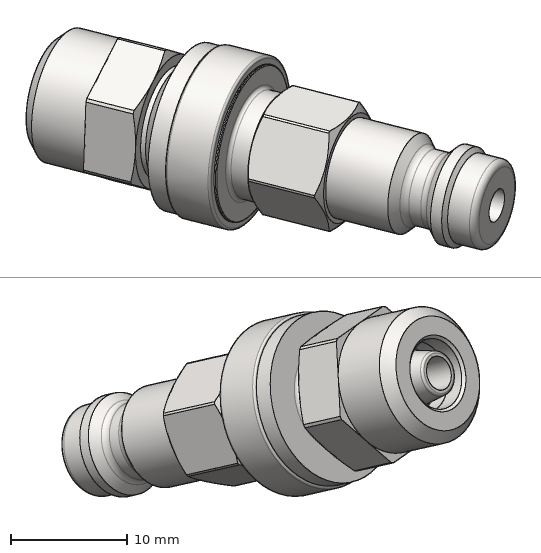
import cadquery as cq
import math

LENGTH = 43.0
BORE_R = 2.95 / 2

TIP_FACE_R = 3.53 / 2
TIP_R = 3.95 / 2
TIP_ROUND = TIP_R - TIP_FACE_R
CONE_BASE_R = 5.3 / 2
CONE_END = 3.85
HOSE_BORE_R = 6.2 / 2
SHOULDER_X = 2.15
THREAD_R = 10.0 / 2
THREAD_END = 11.65

UNDERCUT_R = 8.4 / 2
UNDERCUT_FILLET = 0.6
UNDERCUT_START = 12.45
UNDERCUT_END = 12.73

FLANGE_START = 13.15
FLANGE_END = 14.88
FLANGE_R = 15.0 / 2
DRUM_R = 14.0 / 2
DRUM_END = 19.5
DRUM_CHAMFER = 0.1

NECK_R = 9.7 / 2
NECK_FILLET = 0.35
HEX_START = 21.45
HEX_END = 28.75
BODY_HEX_FLATS = 10.0
BODY_HEX_CORNER_R = 11.45 / 2
HEX_END_R = 4.9
HEX_CHAMFER_ANGLE = 30.0

PLUG_R = 9.0 / 2
PLUG_END = 34.75
GROOVE_R = 6.85 / 2
GROOVE_FILLET = 1.0
LOCK_RIM_START = 38.87
LOCK_RIM_END = 39.95
NOSE_START = 40.3
NOSE_R = 8.1 / 2
NOSE_FILLET = 0.6

RING_END = 19.25
RING_R = 15.5 / 2
RING_ROUND = 0.2

NUT_START = 0.15
NUT_R = 12.0 / 2
NUT_FACE_R = 10.0 / 2
NUT_CHAMFER_END = 1.15
NUT_BORE_CHAMFER = 0.25
NUT_HEX_START = 6.28
NUT_END = 11.2
NUT_HEX_CORNER_R = 13.67 / 2
NUT_HEX_CHAMFER = 0.35
NUT_HEX_TURN = 4.0

DIAGONAL = math.sqrt(0.5)


def revolve_about_x(profile):
    """Full turn of a closed XY profile about the X axis."""
    return profile.close().revolve(360, (0, 0, 0), (1, 0, 0))


def cylinder(radius, start, end):
    return cq.Workplane("YZ", origin=(start, 0, 0)).circle(radius).extrude(end - start)


def hexagon(flats, start, end):
    """Hexagonal prism along X with two corners on the Y axis."""
    across_corners = flats / math.cos(math.pi / 6)
    return cq.Workplane("YZ", origin=(start, 0, 0)).polygon(6, across_corners).extrude(end - start)


def make_body_hex():
    chamfer_length = (BODY_HEX_CORNER_R - HEX_END_R) * math.tan(math.radians(HEX_CHAMFER_ANGLE))
    envelope = revolve_about_x(
        cq.Workplane("XY")
        .moveTo(HEX_START, 0)
        .lineTo(HEX_START, HEX_END_R)
        .lineTo(HEX_START + chamfer_length, BODY_HEX_CORNER_R)
        .lineTo(HEX_END - chamfer_length, BODY_HEX_CORNER_R)
        .lineTo(HEX_END, HEX_END_R)
        .lineTo(HEX_END, 0)
    )
    return hexagon(BODY_HEX_FLATS, HEX_START, HEX_END).intersect(envelope)


def make_body():
    arc_length = GROOVE_FILLET * DIAGONAL
    arc_rise = GROOVE_FILLET * (1 - DIAGONAL)
    arc_top_r = GROOVE_R + arc_rise
    flank_length = PLUG_R - arc_top_r
    groove_in = PLUG_END + flank_length
    groove_out = LOCK_RIM_START - flank_length
    undercut_in = UNDERCUT_START - UNDERCUT_FILLET * DIAGONAL
    undercut_top_r = UNDERCUT_R + UNDERCUT_FILLET * (1 - DIAGONAL)
    nose_fillet_start = LENGTH - NOSE_FILLET
    turned = revolve_about_x(
        cq.Workplane("XY")
        .moveTo(0, BORE_R)
        .lineTo(0, TIP_FACE_R)
        .radiusArc((TIP_ROUND, TIP_R), TIP_ROUND)
        .lineTo(CONE_END, CONE_BASE_R)
        .lineTo(CONE_END, HOSE_BORE_R)
        .lineTo(SHOULDER_X, HOSE_BORE_R)
        .lineTo(SHOULDER_X, THREAD_R)
        .lineTo(THREAD_END, THREAD_R)
        .lineTo(undercut_in, undercut_top_r)
        .radiusArc((UNDERCUT_START, UNDERCUT_R), -UNDERCUT_FILLET)
        .lineTo(UNDERCUT_END, UNDERCUT_R)
        .tangentArcPoint((FLANGE_START, UNDERCUT_R + FLANGE_START - UNDERCUT_END), relative=False)
        .lineTo(FLANGE_START, FLANGE_R)
        .lineTo(FLANGE_END, FLANGE_R)
        .lineTo(FLANGE_END, DRUM_R)
        .lineTo(DRUM_END - DRUM_CHAMFER, DRUM_R)
        .lineTo(DRUM_END, DRUM_R - DRUM_CHAMFER)
        .lineTo(DRUM_END, NECK_R + NECK_FILLET)
        .radiusArc((DRUM_END + NECK_FILLET, NECK_R), -NECK_FILLET)
        .lineTo(HEX_START, NECK_R)
        .lineTo(HEX_START, PLUG_R)
        .lineTo(PLUG_END, PLUG_R)
        .lineTo(groove_in, arc_top_r)
        .radiusArc((groove_in + arc_length, GROOVE_R), -GROOVE_FILLET)
        .lineTo(groove_out - arc_length, GROOVE_R)
        .radiusArc((groove_out, arc_top_r), -GROOVE_FILLET)
        .lineTo(LOCK_RIM_START, PLUG_R)
        .lineTo(LOCK_RIM_END, PLUG_R)
        .lineTo(NOSE_START, NOSE_R)
        .lineTo(nose_fillet_start, NOSE_R)
        .radiusArc((LENGTH, NOSE_R - NOSE_FILLET), NOSE_FILLET)
        .lineTo(LENGTH, BORE_R)
    )
    return turned.union(make_body_hex()).cut(cylinder(BORE_R, 0, LENGTH))


def make_ring():
    """Ring on the drum, seated against the flange."""
    outside = cylinder(RING_R, FLANGE_END, RING_END).edges().fillet(RING_ROUND)
    return outside.cut(cylinder(DRUM_R, FLANGE_END, RING_END))


def make_nut_hex():
    envelope = revolve_about_x(
        cq.Workplane("XY")
        .moveTo(NUT_HEX_START, 0)
        .lineTo(NUT_HEX_START, NUT_HEX_CORNER_R)
        .lineTo(NUT_END - NUT_HEX_CHAMFER, NUT_HEX_CORNER_R)
        .lineTo(NUT_END, NUT_R)
        .lineTo(NUT_END, 0)
    )
    corner_up = hexagon(2 * NUT_R, NUT_HEX_START, NUT_END).rotate((0, 0, 0), (1, 0, 0), 90 - NUT_HEX_TURN)
    return corner_up.intersect(envelope)


def make_nut():
    barrel = revolve_about_x(
        cq.Workplane("XY")
        .moveTo(NUT_START, 0)
        .lineTo(NUT_START, NUT_FACE_R)
        .lineTo(NUT_CHAMFER_END, NUT_R)
        .lineTo(NUT_HEX_START, NUT_R)
        .lineTo(NUT_HEX_START, 0)
    )
    cavity = revolve_about_x(
        cq.Workplane("XY")
        .moveTo(NUT_START, 0)
        .lineTo(NUT_START, HOSE_BORE_R + NUT_BORE_CHAMFER)
        .lineTo(NUT_START + NUT_BORE_CHAMFER, HOSE_BORE_R)
        .lineTo(SHOULDER_X, HOSE_BORE_R)
        .lineTo(SHOULDER_X, THREAD_R)
        .lineTo(NUT_END, THREAD_R)
        .lineTo(NUT_END, 0)
    )
    return barrel.union(make_nut_hex()).cut(cavity)


body = make_body()
ring = make_ring()
nut = make_nut()

result = cq.Compound.makeCompound([body.val(), ring.val(), nut.val()])